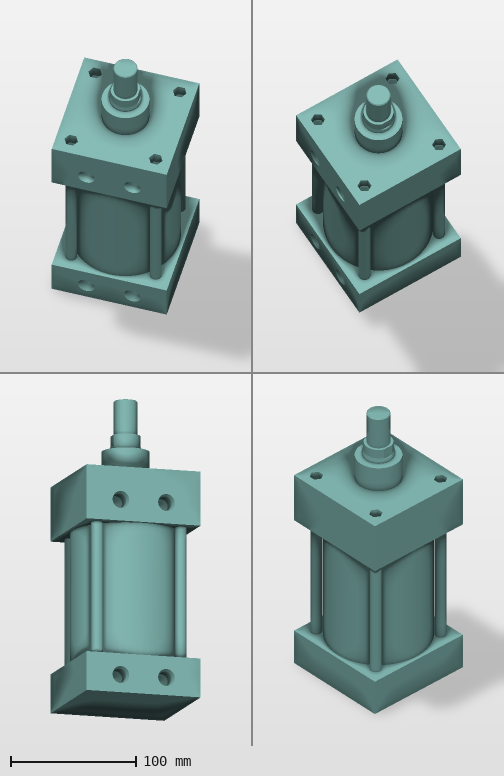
import cadquery as cq
import math

total_height = 247.6
cap_width = 95.3
rear_cap_height = 31.7
head_bottom = 140.0
head_top = 184.0
boss_top = 206.3

tube_diameter = 89.0
tie_rod_diameter = 9.5
tie_rod_spacing = 70.0
boss_diameter = 38.1

socket_sides = 6
socket_across_flats = 9.7
socket_depth = 10.0
socket_drill_diameter = 8.5

port_diameter = 11.5
port_mouth = 13.9
port_taper_depth = 4.2
port_depth = 14.9
port_offset = 19.0
rear_port_height = 14.4
head_port_height = 157.0

drill_point_angle = 118.0

rod_diameter = 25.5
rod_land_height = 1.5
collar_diameter = 23.8
collar_bottom = 211.0
collar_top = 219.2
flat_width = 22.3
flat_bottom = 210.0
stud_diameter = 19.0
stud_chamfer = 0.7


def square_pattern(spacing):
    """Four corner places of a square centred on the axis."""
    offset = spacing / 2
    return [(x, y) for x in (-offset, offset) for y in (-offset, offset)]


def drill_point_height(diameter):
    """Height of the cone that a drill leaves at the end of a hole."""
    return diameter / 2 / math.tan(math.radians(drill_point_angle / 2))


def port_cutter():
    """Tapered mouth, straight bore and drill point, going down from the origin."""
    return (
        cq.Workplane("XZ")
        .polyline([
            (0, 0),
            (port_mouth / 2, 0),
            (port_diameter / 2, -port_taper_depth),
            (port_diameter / 2, -port_depth),
            (0, -port_depth - drill_point_height(port_diameter)),
        ])
        .close()
        .revolve(360, (0, 0, 0), (0, 1, 0))
    )


def socket_cutter():
    """Hexagon with corners on the X axis and a drill point in its floor, going down from the origin."""
    across_corners = socket_across_flats / math.cos(math.pi / socket_sides)
    hexagon = cq.Workplane("XY").polygon(socket_sides, across_corners).extrude(-socket_depth)
    point = cq.Solid.makeCone(
        socket_drill_diameter / 2,
        0,
        drill_point_height(socket_drill_diameter),
        pnt=cq.Vector(0, 0, -socket_depth),
        dir=cq.Vector(0, 0, -1),
    )
    return hexagon.union(cq.Workplane(point))


def cap(bottom, top):
    """Square end block between two heights."""
    return cq.Workplane("XY").workplane(offset=bottom).rect(cap_width, cap_width).extrude(top - bottom)


def make_housing():
    """Both caps with the tube, tie rods and boss, with the ports and tie-rod sockets cut in."""
    between_caps = head_bottom - rear_cap_height
    body = cap(0, rear_cap_height).union(cap(head_bottom, head_top))

    tube = cq.Workplane("XY").workplane(offset=rear_cap_height).circle(tube_diameter / 2).extrude(between_caps)
    tie_rods = (
        cq.Workplane("XY")
        .workplane(offset=rear_cap_height)
        .pushPoints(square_pattern(tie_rod_spacing))
        .circle(tie_rod_diameter / 2)
        .extrude(between_caps)
    )
    boss = cq.Workplane("XY").workplane(offset=head_top).circle(boss_diameter / 2).extrude(boss_top - head_top)
    body = body.union(tube).union(tie_rods).union(boss)

    socket = socket_cutter()
    for x, y in square_pattern(tie_rod_spacing):
        body = body.cut(socket.translate((x, y, head_top)))

    port = port_cutter().rotate((0, 0, 0), (1, 0, 0), 90)
    for x in (-port_offset, port_offset):
        for z in (rear_port_height, head_port_height):
            body = body.cut(port.translate((x, -cap_width / 2, z)))
    return body


def make_rod():
    """Piston rod end: land, cone, collar with two wrench flats, and stud."""
    rod = (
        cq.Workplane("XZ")
        .polyline([
            (0, boss_top),
            (rod_diameter / 2, boss_top),
            (rod_diameter / 2, boss_top + rod_land_height),
            (collar_diameter / 2, collar_bottom),
            (collar_diameter / 2, collar_top),
            (stud_diameter / 2, collar_top),
            (stud_diameter / 2, total_height),
            (0, total_height),
        ])
        .close()
        .revolve(360, (0, 0, 0), (0, 1, 0))
        .faces(">Z")
        .chamfer(stud_chamfer)
    )
    flat_height = collar_top - flat_bottom
    cutter_width = rod_diameter
    for side in (-1, 1):
        outside_flat = cq.Workplane("XY").box(
            cutter_width, cutter_width, flat_height, centered=(True, True, False)
        )
        rod = rod.cut(outside_flat.translate((side * (flat_width + cutter_width) / 2, 0, flat_bottom)))
    return rod


housing = make_housing()
piston_rod = make_rod()
result = cq.Compound.makeCompound([housing.val(), piston_rod.val()])